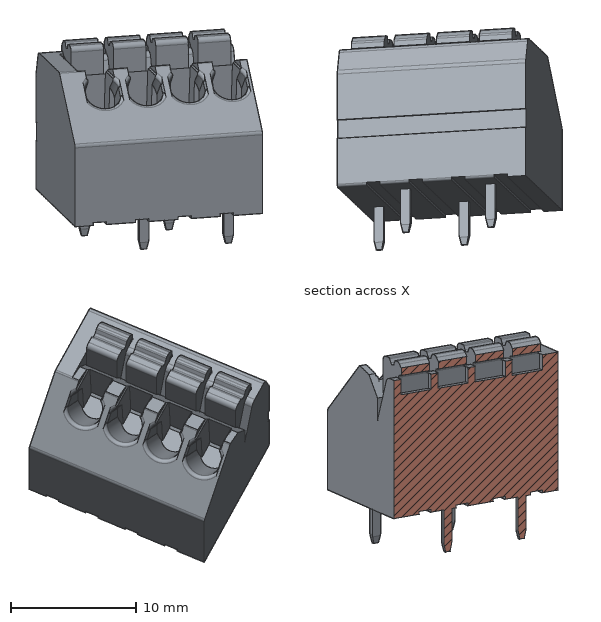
import cadquery as cq
import math

length_x = 12.0
top_z = 15.01
base_z = 3.52
module_count = 4
pitch = 3.5
plate_y = 1.5
total_y = plate_y + module_count * pitch

lean_z = 12.95
lean_angle = 20
lean_radius = 0.98
roof_radius = 0.93 / 2
chamfer_x = 7.2
chamfer_radius = 0.2
nose_radius = 0.41
groove_low_z = 7.5
groove_high_z = 9.03
groove_depth = 0.18

roof_x = (top_z - lean_z) * math.tan(math.radians(lean_angle))
nose_z = top_z - (length_x - chamfer_x)

valley_x = 3.09
valley_bottom_x = 4.51
valley_angle = 70
valley_radius = 0.57
ramp_foot_z = 12.95
ramp_top_x = 5.79
ramp_top_z = 14.58
valley_bottom_z = top_z - (valley_bottom_x - valley_x) * math.tan(math.radians(valley_angle))

button_front_x = 1.93
button_back_x = 4.79
button_top_z = 16.35
button_start_y = 0.11
button_width = 2.7
button_lip_z = 15.29
button_stem_x = 2.45
lip_radius = 0.23
bevel_x = 2.47
bevel_radius = roof_radius
button_front_radius = 0.25
button_back_radius = 0.41
notch_center_x = 3.38
notch_top_width = 0.85
notch_floor_width = 0.3
notch_floor_z = 15.88
notch_rim_radius = 0.123
notch_floor_radius = 0.25
button_pocket_x = 1.83
button_pocket_z = 13.73
button_root_z = 10.79

entry_x = 8.62
entry_radius = 1.47
entry_rim_radius = 0.3
entry_half_width = 1.39
entry_rim_half_width = 1.5
entry_floor_z = 10.37
entry_back_x = 6.87
entry_flat_depth = 0.33

slot_start_x = 5.45
slot_half_width = 1.15
slot_neck_half_width = 1.03
slot_floor_half_width = 0.9
slot_bevel_z = 14.47
slot_end_chamfer = 0.2

foot_height = 0.23
foot_width = 2.4
foot_radius = 0.21
pin_centers_x = (2.19, 7.39)
pin_center_y = 1.9
pin_thickness = 0.4
pin_width = 0.8
pin_thickness_taper_z = 0.59
pin_width_taper_z = 0.77
pin_tip_thickness = 0.25
pin_tip_width = 0.45
pin_root = 0.33

reach = 4.9


def extrude_y(outline, start_y, width):
    """Extrude a closed list of (x, z) points towards +Y."""
    return cq.Workplane("XZ", origin=(0, start_y, 0)).polyline(outline).close().extrude(-width)


def round_edge(body, x, z, radius):
    """Round the edge running along Y at (x, z)."""
    margin = 0.008
    low_corner = (x - margin, -reach, z - margin)
    high_corner = (x + margin, total_y + reach, z + margin)
    box = cq.selectors.BoxSelector(low_corner, high_corner)
    return body.edges("|Y").edges(box).fillet(radius)


def make_housing():
    outline = [
        (0, base_z), (length_x, base_z), (length_x, nose_z), (chamfer_x, top_z), (roof_x, top_z), (0, lean_z),
        (0, groove_high_z), (groove_depth, groove_high_z), (groove_depth, groove_low_z), (0, groove_low_z),
    ]
    body = extrude_y(outline, 0, total_y)
    body = round_edge(body, 0, lean_z, lean_radius)
    body = round_edge(body, roof_x, top_z, roof_radius)
    body = round_edge(body, chamfer_x, top_z, chamfer_radius)
    return round_edge(body, length_x, nose_z, nose_radius)


def make_valley(module_y):
    outline = [
        (valley_x, top_z), (valley_bottom_x, valley_bottom_z), (valley_bottom_x, ramp_foot_z),
        (ramp_top_x, ramp_top_z), (chamfer_x, top_z),
    ]
    valley = extrude_y(outline, module_y, pitch)
    half_angle = math.radians(valley_angle / 2)
    tangent = valley_radius * math.tan(half_angle)
    angle = math.radians(valley_angle)
    arc_start = (valley_x - tangent, top_z)
    arc_end = (valley_x + tangent * math.cos(angle), top_z - tangent * math.sin(angle))
    arc_mid = (
        arc_start[0] + valley_radius * math.sin(half_angle),
        top_z - valley_radius * (1 - math.cos(half_angle)),
    )
    rounding = (
        cq.Workplane("XZ", origin=(0, module_y, 0))
        .moveTo(*arc_start)
        .threePointArc(arc_mid, arc_end)
        .lineTo(valley_x, top_z)
        .close()
        .extrude(-pitch)
    )
    return valley.union(rounding)


def make_button_pocket(module_y):
    """Clearance under the overhanging lip of the button."""
    size = (button_stem_x - button_pocket_x, button_start_y + button_width, reach)
    return cq.Workplane().box(*size, centered=False).translate((button_pocket_x, module_y, button_pocket_z))


def make_button(module_y):
    bevel_z = button_top_z - (bevel_x - button_front_x)
    notch_top = notch_top_width / 2
    notch_floor = notch_floor_width / 2
    notch_start_x = notch_center_x - notch_top
    notch_end_x = notch_center_x + notch_top
    floor_start_x = notch_center_x - notch_floor
    floor_end_x = notch_center_x + notch_floor
    outline = [
        (button_stem_x, button_root_z), (button_stem_x, button_lip_z), (button_front_x, button_lip_z),
        (button_front_x, bevel_z), (bevel_x, button_top_z),
        (notch_start_x, button_top_z), (floor_start_x, notch_floor_z),
        (floor_end_x, notch_floor_z), (notch_end_x, button_top_z),
        (button_back_x, button_top_z), (button_back_x, button_root_z),
    ]
    button = extrude_y(outline, module_y + button_start_y, button_width)
    button = round_edge(button, button_stem_x, button_lip_z, lip_radius)
    button = round_edge(button, button_front_x, bevel_z, button_front_radius)
    button = round_edge(button, bevel_x, button_top_z, bevel_radius)
    button = round_edge(button, button_back_x, button_top_z, button_back_radius)
    for x in (notch_start_x, notch_end_x):
        button = round_edge(button, x, button_top_z, notch_rim_radius)
    for x in (floor_start_x, floor_end_x):
        button = round_edge(button, x, notch_floor_z, notch_floor_radius)
    return button


def make_wire_entry(center_y):
    """Round hole square to the 45 degree face, with a rounded rim and flat sides."""
    entry_z = top_z - (entry_x - chamfer_x)
    section = cq.Plane(origin=(entry_x, center_y, entry_z), xDir=(0, 1, 0), normal=(1, 0, -1))
    rim_radius = entry_radius + entry_rim_radius
    arc_inset = entry_rim_radius * (1 - math.sqrt(0.5))
    hole = (
        cq.Workplane(section)
        .moveTo(0, -reach)
        .lineTo(entry_radius, -reach)
        .lineTo(entry_radius, -entry_rim_radius)
        .threePointArc((entry_radius + arc_inset, -arc_inset), (rim_radius, 0))
        .lineTo(rim_radius, reach)
        .lineTo(0, reach)
        .close()
        .revolve(360, (0, 0), (0, 1))
    )
    side = [
        (entry_half_width, -reach), (entry_half_width, -entry_flat_depth),
        (entry_rim_half_width, 0), (entry_rim_half_width, reach),
    ]
    flats_outline = side + [(-y, depth) for y, depth in reversed(side)]
    flats = cq.Workplane(section).polyline(flats_outline).close().extrude(reach, both=True)
    limits = (
        cq.Workplane()
        .box(length_x, pitch, top_z, centered=(False, True, False))
        .translate((entry_back_x, center_y, entry_floor_z))
    )
    return hole.intersect(flats).intersect(limits)


def make_slot(center_y):
    """Tapering slot that runs from the valley ramp into the wire entry."""
    neck_z = slot_bevel_z - (slot_half_width - slot_neck_half_width)
    side = [
        (slot_floor_half_width, entry_floor_z), (slot_neck_half_width, neck_z),
        (slot_half_width, slot_bevel_z), (slot_half_width, top_z),
    ]
    outline = side + [(-y, z) for y, z in reversed(side)]
    slot = (
        cq.Workplane("YZ", origin=(slot_start_x, center_y, 0))
        .polyline(outline)
        .close()
        .extrude(length_x)
    )
    slot = slot.faces("<Z").edges("<X").chamfer(slot_end_chamfer)
    limit_outline = [
        (slot_start_x, entry_floor_z), (entry_back_x, entry_floor_z),
        (entry_back_x + top_z - entry_floor_z, top_z), (slot_start_x, top_z),
    ]
    return slot.intersect(extrude_y(limit_outline, center_y - pitch / 2, pitch))


def make_foot_gap(module_y):
    """Recess under the housing that leaves one foot at the +Y side of the module."""
    size = (length_x, pitch - foot_width, foot_height)
    return cq.Workplane().box(*size, centered=False).translate((0, module_y, base_z))


def make_foot_rounding(module_y):
    """Cutter that rounds the lower -X edge of a foot."""
    start_y = module_y + pitch - foot_width
    corner = cq.Workplane().box(foot_radius, foot_width, foot_radius, centered=False)
    corner = corner.translate((0, start_y, base_z))
    cylinder = (
        cq.Workplane("XZ", origin=(foot_radius, start_y, base_z + foot_radius))
        .circle(foot_radius)
        .extrude(-foot_width)
    )
    return corner.cut(cylinder)


def tapered_outline(center, width, tip_width, taper_z, top):
    """Outline of a bar that narrows to a tip at Z = 0."""
    side = [(tip_width / 2, 0), (width / 2, taper_z), (width / 2, top)]
    right = [(center + offset, z) for offset, z in side]
    left = [(center - offset, z) for offset, z in reversed(side)]
    return right + left


def make_pin(center_x, center_y):
    """Flat pin with a tapered tip standing on Z = 0."""
    top = base_z + foot_height + pin_root
    side_profile = tapered_outline(center_x, pin_thickness, pin_tip_thickness, pin_thickness_taper_z, top)
    front_profile = tapered_outline(center_y, pin_width, pin_tip_width, pin_width_taper_z, top)
    slab = extrude_y(side_profile, 0, total_y)
    blade = cq.Workplane("YZ").polyline(front_profile).close().extrude(length_x)
    return slab.intersect(blade)


result = make_housing()
for index in range(module_count):
    module_y = plate_y + index * pitch
    center_y = module_y + pitch / 2
    result = result.cut(make_valley(module_y))
    result = result.cut(make_button_pocket(module_y))
    result = result.cut(make_wire_entry(center_y))
    result = result.cut(make_slot(center_y))
    result = result.cut(make_foot_gap(module_y))
    result = result.cut(make_foot_rounding(module_y))
    result = result.union(make_button(module_y))
    pin_x = pin_centers_x[index % len(pin_centers_x)]
    result = result.union(make_pin(pin_x, module_y + pin_center_y))